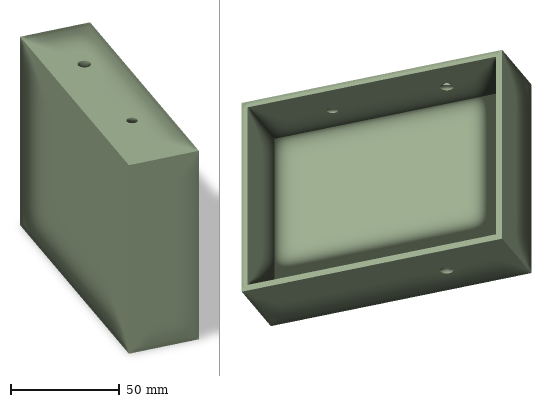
import cadquery as cq

width = 130.0
depth = 35.0
height = 100.0
wall = 3.0

large_hole_diameter = 6.2
large_hole_x = -30.0
small_hole_diameter = 5.2
small_hole_x = 27.0


def box_shell():
    """Box with a plain front, open at the back (+Y)."""
    outer = cq.Workplane("XY").box(width, depth, height)
    cavity = cq.Workplane("XY").box(width - 2 * wall, depth, height - 2 * wall)
    return outer.cut(cavity.translate((0, wall, 0)))


def vertical_hole(x, diameter, length):
    """Cylinder going down from the top face."""
    top = cq.Workplane("XY", origin=(x, 0, height / 2))
    return top.circle(diameter / 2).extrude(-length)


result = (
    box_shell()
    .cut(vertical_hole(large_hole_x, large_hole_diameter, height))
    .cut(vertical_hole(small_hole_x, small_hole_diameter, 2 * wall))
)